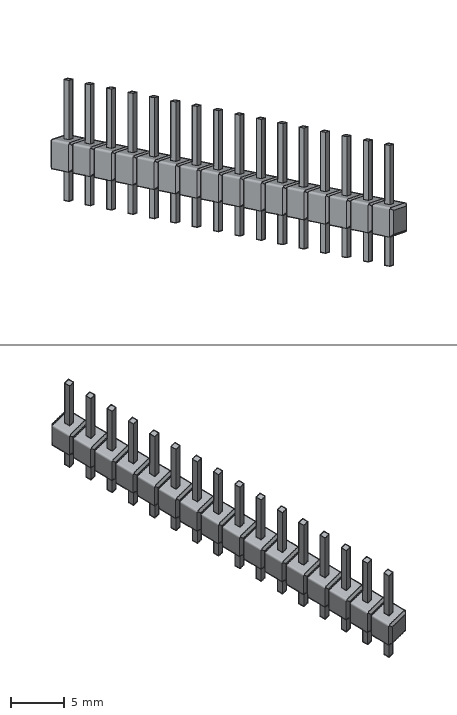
import cadquery as cq

row_length = 40.65
pin_count = 16
pitch = row_length / pin_count

block_height = 2.85
block_chamfer = 0.25
top_round_radius = 0.225

pin_side = 0.6
pin_length = 11.8
pin_below_block = 3.15


def housing_block():
    """Housing block of one pin, chamfered at its ends and rounded on top along the row."""
    block = cq.Workplane("XY").box(pitch, pitch, block_height, centered=(True, True, False))
    block = block.edges("|Y or |Z").chamfer(block_chamfer)
    return block.edges(">Z and |X").fillet(top_round_radius)


def square_pin():
    """Straight square pin sticking out below and above the block."""
    pin = cq.Workplane("XY").box(pin_side, pin_side, pin_length, centered=(True, True, False))
    return pin.translate((0, 0, -pin_below_block))


position = housing_block().union(square_pin())
first_x = (pitch - row_length) / 2

result = position.translate((first_x, 0, 0))
for index in range(1, pin_count):
    result = result.union(position.translate((first_x + index * pitch, 0, 0)))